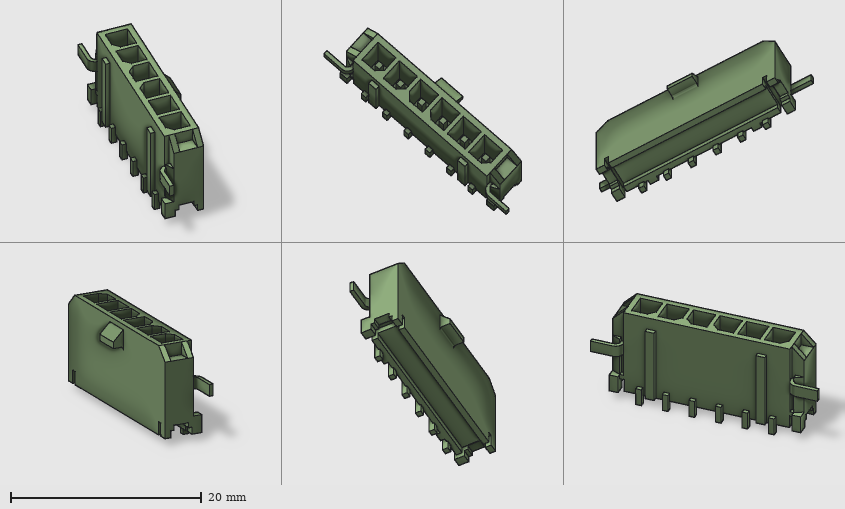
import cadquery as cq
import math


total_length = 25.65
height = 10.9
base_z = 1.0

contact_count = 6
pitch = 3.0
contact_width = 0.65
contact_y = -1.92
contact_tip_z = 8.0
tail_top_z = 2.0

core_width = 18.82
core_depth = 3.9
body_width = 21.65
wing_depth = 3.38
front_y = -4.38
shoulder_z = 9.49

cavity_width = 2.5
cavity_rear_y = -0.7
cavity_floor_z = 3.0
key_chamfer = 0.72
cavity_keys = ["right", "right", "left", "left", None, "right"]

wing_recess_width = 2.0

foot_width = 1.0
foot_top_z = 3.0
wedge_top_z = 7.4
foot_gap_width = 0.49
foot_gap_top_z = 2.45

channel_rear_y = -0.7
channel_front_y = -3.2
channel_top_z = 1.77
leg_slot_rear_y = -1.08
leg_slot_front_y = -2.8
leg_slot_top_z = 2.33

rib_width = 1.03
rib_offset = 6.25

latch_width = 3.03
latch_reach = 1.2
latch_top_z = 10.3
latch_nose_top_z = 9.13
latch_bottom_z = 8.4
latch_fillet = 0.33

anchor_bottom_z = 5.65
anchor_height = 1.3
anchor_thickness = 0.45
anchor_inner_radius = 0.45
anchor_front_y = -4.67

core_half = core_width / 2
body_half = body_width / 2
foot_inner_x = body_half - foot_width
contact_xs = [(i - (contact_count - 1) / 2) * pitch for i in range(contact_count)]


def box(x_min, x_max, y_min, y_max, z_min, z_max):
    """Axis-aligned block given by its limits."""
    return cq.Workplane("XY").box(
        x_max - x_min, y_max - y_min, z_max - z_min, centered=False
    ).translate((x_min, y_min, z_min))


def both_ends(right_part):
    """The right-hand part together with its mirror image at the left end."""
    return right_part.union(right_part.mirror("YZ"))


def make_core():
    return box(-core_half, core_half, -core_depth, 0, base_z, height)


def make_wing():
    """Right end wing with a sloped shoulder and an open recess in its top."""
    wing = (
        cq.Workplane("XZ")
        .moveTo(0, base_z)
        .lineTo(body_half, base_z)
        .lineTo(body_half, shoulder_z)
        .lineTo(core_half, height)
        .lineTo(0, height)
        .close()
        .extrude(wing_depth)
    )
    recess = box(core_half, body_half, cavity_rear_y - wing_recess_width, cavity_rear_y, shoulder_z, height)
    return wing.cut(recess)


def make_foot():
    """Right front foot, the web joining it to the core, and the wedge above it."""
    foot = box(foot_inner_x, body_half, front_y, -wing_depth, base_z, foot_top_z)
    web = box(core_half, foot_inner_x, -core_depth, -wing_depth, base_z, foot_top_z)
    wedge = (
        cq.Workplane("XY", origin=(0, 0, foot_top_z))
        .moveTo(body_half, -wing_depth)
        .lineTo(foot_inner_x, -core_depth)
        .lineTo(foot_inner_x, -wing_depth)
        .close()
        .extrude(wedge_top_z - foot_top_z)
    )
    return foot.union(web).union(wedge)


def make_foot_gap():
    """Slot that separates the right end leg from the core."""
    return box(foot_inner_x - foot_gap_width, foot_inner_x, front_y, 0, base_z, foot_gap_top_z)


def make_leg_slot():
    """Opening through the right end leg, above the channel."""
    return box(foot_inner_x, body_half, leg_slot_front_y, leg_slot_rear_y, base_z, leg_slot_top_z)


def make_channel():
    """Channel along the whole underside."""
    return box(-body_half, body_half, channel_front_y, channel_rear_y, base_z, channel_top_z)


def make_cavity(x, key):
    """Square contact cavity, with one front corner chamfered when it is keyed."""
    half = cavity_width / 2
    cavity = box(x - half, x + half, cavity_rear_y - cavity_width, cavity_rear_y, cavity_floor_z, height)
    if key == "right":
        return cavity.edges("|Z and >X and <Y").chamfer(key_chamfer)
    if key == "left":
        return cavity.edges("|Z and <X and <Y").chamfer(key_chamfer)
    return cavity


def make_contact(x):
    """Square pin standing in a cavity, and its solder tail on the front face."""
    half = contact_width / 2
    pin = box(x - half, x + half, contact_y - half, contact_y + half, cavity_floor_z, contact_tip_z)
    tail = box(x - half, x + half, front_y, front_y + contact_width, 0, tail_top_z)
    return pin.union(tail)


def make_rib():
    half = rib_width / 2
    return box(rib_offset - half, rib_offset + half, front_y, -core_depth, base_z, shoulder_z)


def make_latch():
    """Hook on the rear wall, with a concave fillet beneath it."""
    fillet_mid = latch_fillet * (1 - math.sqrt(0.5))
    return (
        cq.Workplane("YZ")
        .moveTo(0, latch_top_z)
        .lineTo(latch_reach, latch_nose_top_z)
        .lineTo(latch_reach, latch_bottom_z)
        .lineTo(latch_fillet, latch_bottom_z)
        .threePointArc((fillet_mid, latch_bottom_z - fillet_mid), (0, latch_bottom_z - latch_fillet))
        .close()
        .extrude(latch_width / 2, both=True)
    )


def make_anchor():
    """Bent strip leaving the right wing forwards and turning outwards."""
    outer_radius = anchor_inner_radius + anchor_thickness
    bend_x = core_half + outer_radius
    bend_y = anchor_front_y + outer_radius
    path_radius = anchor_inner_radius + anchor_thickness / 2
    mid_z = anchor_bottom_z + anchor_height / 2
    path = (
        cq.Workplane("XY", origin=(0, 0, mid_z))
        .moveTo(bend_x - path_radius, -wing_depth)
        .lineTo(bend_x - path_radius, bend_y)
        .radiusArc((bend_x, bend_y - path_radius), -path_radius)
        .lineTo(total_length / 2, bend_y - path_radius)
    )
    return (
        cq.Workplane("XZ", origin=(bend_x - path_radius, -wing_depth, mid_z))
        .rect(anchor_thickness, anchor_height)
        .sweep(path)
    )


result = make_core().union(both_ends(make_wing())).union(both_ends(make_foot()))
result = result.cut(both_ends(make_foot_gap()))
result = result.cut(both_ends(make_leg_slot()))
result = result.cut(make_channel())

for cavity_x, cavity_key in zip(contact_xs, cavity_keys):
    result = result.cut(make_cavity(cavity_x, cavity_key))
    result = result.union(make_contact(cavity_x))

result = result.union(both_ends(make_rib()))
result = result.union(make_latch())
result = result.union(both_ends(make_anchor()))